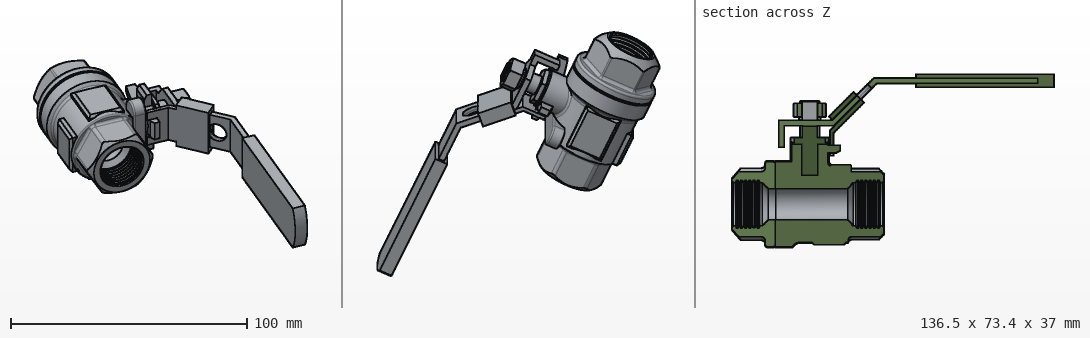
import cadquery as cq
import math


PORT_RADIUS = 7.0
THREAD_MINOR_RADIUS = 9.4
THREAD_MAJOR_RADIUS = 10.5
THREAD_PITCH = 1.8
THREAD_HALF_WIDTH = 0.7
THREAD_TURNS = 6
MOUTH_RADIUS = 10.0
MOUTH_CHAMFER = MOUTH_RADIUS - THREAD_MINOR_RADIUS
SOCKET_DEPTH = MOUTH_CHAMFER + (THREAD_TURNS + 1) * THREAD_PITCH
SOCKET_CONE_LENGTH = THREAD_MINOR_RADIUS - PORT_RADIUS

CAP_END_X = -33.0
CAP_SHOULDER_X = -19.0
JOINT_X = -14.5
FLANGE_END_X = -7.4
BARREL_END_X = 16.4
BODY_END_X = 31.4
SEAM_TOLERANCE = 0.1

FLANGE_RADIUS = 18.35
CAP_EDGE_FILLET = 1.1
CAP_HALF_FLATS = 13.4
CAP_HEX_CORNER_FILLET = 0.8
CAP_ROOT_FILLET = 1.5
CAP_FACE_RADIUS = 10.9
CAP_BEVEL_LENGTH = 4.0
JOINT_GROOVE_WIDTH = 0.8
JOINT_GROOVE_DEPTH = 0.2

BARREL_RADIUS = 16.5
BARREL_EDGE_FILLET = 0.7
FLANGE_ROOT_FILLET = 2.0
BODY_HALF_FLATS = 13.4
BODY_HEX_CORNER_FILLET = 2.0
BODY_ROOT_FILLET = 1.2
BODY_BEVEL = 2.6

PAD_EDGE_CHAMFER = 1.2
SIDE_PAD_X = (-5.7, 14.3)
SIDE_PAD_HALF_WIDTH = 8.0
SIDE_PAD_HEIGHT = 16.8
BOTTOM_PAD_X = (0.7, 15.7)
BOTTOM_PAD_HALF_WIDTH = 8.9
BOTTOM_PAD_HEIGHT = 17.2

LUG_X = 13.1
LUG_RADIUS = 4.5
LUG_TIP_Z = 18.49
LUG_Y = (11.2, 16.8)
LUG_EDGE_FILLET = 0.7

NECK_RADIUS = 8.25
NECK_TOP_Y = 25.4
NECK_FILLET = 1.4
WING_TOP_Y = 25.0
STOP_INNER = 3.3
STOP_TIP_OUTER = 6.0
STOP_ROOT_OUTER = 7.9
STOP_ROOT_Y = 17.7
STOP_TIP_Y = 20.9
CLOSED_STOP_REACH = 14.0
OPEN_STOP_REACH = 14.5
LOCK_WING_HALF_WIDTH = 4.2
LOCK_WING_REACH = 13.0
LOCK_WING_TIP_Y = 22.6
LOCK_WING_ROOT_Y = 21.5
LOCK_WING_SLOPE_LENGTH = 2.0

STEM_RADIUS = 4.2
STEM_FLAT_HALF_WIDTH = 2.7
STEM_BOTTOM_Y = 12.3
STEM_TOP_Y = 43.8
STEM_TIP_CHAMFER = 0.5
COLLAR_RIM_RADIUS = 8.39
COLLAR_RIM_HEIGHT = 0.8
COLLAR_TOP_Y = 28.2
COLLAR_HALF_FLATS = 7.1
COLLAR_CHAMFER = 0.4

SHEET = 2.52
LEVER_SLOPE = math.radians(45)
LEVER_HALF_WIDTH = 8.39
PLATE_TOP_Y = 35.6
PLATE_MID_Y = PLATE_TOP_Y - SHEET / 2
LOWER_BEND_X = 9.8
UPPER_BEND_X = 27.7
HANDLE_MID_Y = PLATE_MID_Y + (UPPER_BEND_X - LOWER_BEND_X) * math.tan(LEVER_SLOPE)
TAB_OUTER_X = -13.2
TAB_HALF_WIDTH = 3.0
TAB_END_Y = 24.0
TAPER_NARROW_X = -8.5
TAPER_WIDE_X = -3.7
PADLOCK_HOLE_RADIUS = 4.2
PADLOCK_HOLE_DISTANCE = 18.7

GRIP_START_X = 44.9
GRIP_END_X = CAP_END_X + 136.5
GRIP_THICKNESS = 5.6
GRIP_HALF_WIDTH = 10.16
GRIP_END_BULGE = 2.7
GRIP_END_WALL = 4.1
LEVER_END_X = GRIP_END_X - GRIP_END_BULGE - GRIP_END_WALL

SLIDE_START = 0.7
SLIDE_LENGTH = 14.7
SLIDE_WALL = 1.9
SLIDE_HALF_WIDTH = LEVER_HALF_WIDTH + 2.2
LATCH_INNER_X = 8.5
LATCH_THICKNESS = 1.6
LATCH_END_Y = 20.5
LATCH_SLOT_CLEARANCE = 0.1

NUT_HALF_FLATS = 6.0
NUT_FACE_RADIUS = 4.6
NUT_FACE_HEIGHT = 1.2
NUT_TOP_Y = 42.7
NUT_CHAMFER = 0.4


def hex_diameter(half_flats):
    return 2 * half_flats / math.cos(math.radians(30))


def turned_x(points):
    """Solid of revolution about X from (x, radius) points."""
    return cq.Workplane("XY").polyline(points).close().revolve(360, (0, 0, 0), (1, 0, 0))


def disc_y(radius, y_start, y_end):
    """Cylinder on the stem axis between two heights."""
    return cq.Workplane("XZ", origin=(0, y_start, 0)).circle(radius).extrude(y_start - y_end)


def hex_y(half_flats, y_start, y_end):
    """Hexagonal prism on the stem axis with flats facing +Z and -Z."""
    plane = cq.Workplane("XZ", origin=(0, y_start, 0))
    return plane.polygon(6, hex_diameter(half_flats)).extrude(y_start - y_end)


def chamfered_hex_y(half_flats, y_start, y_end, chamfer):
    """Hexagonal prism whose corners are bevelled at both ends."""
    corner = hex_diameter(half_flats) / 2
    envelope = disc_y(corner, y_start, y_end).faces("<Y or >Y").chamfer(chamfer)
    return hex_y(half_flats, y_start, y_end).intersect(envelope)


def box_between(x_range, y_range, z_range):
    size = [end - start for start, end in (x_range, y_range, z_range)]
    corner = (x_range[0], y_range[0], z_range[0])
    return cq.Workplane("XY").box(*size, centered=False).translate(corner)


def hex_end(x_start, x_end, half_flats, corner_fillet):
    """Hexagonal wrench section on the flow axis with rounded corners."""
    plane = cq.Workplane("YZ", origin=(x_start, 0, 0))
    prism = plane.polygon(6, hex_diameter(half_flats)).extrude(x_end - x_start)
    return prism.edges("|X").fillet(corner_fillet)


def seam_at(x, reach):
    """Selector for edges lying in the plane at x, no farther than reach from the flow axis."""
    return cq.selectors.BoxSelector(
        (x - SEAM_TOLERANCE, -reach, -reach), (x + SEAM_TOLERANCE, reach, reach), boundingbox=True)


def socket_cutter(mouth_x, inward):
    """Threaded socket entered at mouth_x; inward is +1 or -1 along X."""
    depth_radius = [(0, 0), (0, MOUTH_RADIUS), (MOUTH_CHAMFER, THREAD_MINOR_RADIUS)]
    for turn in range(THREAD_TURNS):
        root = MOUTH_CHAMFER + (turn + 1) * THREAD_PITCH
        depth_radius.append((root - THREAD_HALF_WIDTH, THREAD_MINOR_RADIUS))
        depth_radius.append((root, THREAD_MAJOR_RADIUS))
        depth_radius.append((root + THREAD_HALF_WIDTH, THREAD_MINOR_RADIUS))
    depth_radius.append((SOCKET_DEPTH, THREAD_MINOR_RADIUS))
    depth_radius.append((SOCKET_DEPTH + SOCKET_CONE_LENGTH, PORT_RADIUS))
    depth_radius.append((SOCKET_DEPTH + SOCKET_CONE_LENGTH, 0))
    return turned_x([(mouth_x + inward * depth, radius) for depth, radius in depth_radius])


def port_cutter():
    plane = cq.Workplane("YZ", origin=(CAP_END_X, 0, 0))
    return plane.circle(PORT_RADIUS).extrude(BODY_END_X - CAP_END_X)


def make_cap():
    groove_x = JOINT_X - JOINT_GROOVE_WIDTH
    groove_radius = FLANGE_RADIUS - JOINT_GROOVE_DEPTH
    flange = turned_x([
        (CAP_SHOULDER_X, 0), (CAP_SHOULDER_X, FLANGE_RADIUS), (groove_x, FLANGE_RADIUS),
        (groove_x, groove_radius), (JOINT_X, groove_radius), (JOINT_X, 0),
    ])
    flange = flange.faces("<X").edges().fillet(CAP_EDGE_FILLET)
    wrench = hex_end(CAP_END_X, CAP_SHOULDER_X, CAP_HALF_FLATS, CAP_HEX_CORNER_FILLET)
    cap = wrench.union(flange)
    hex_reach = hex_diameter(CAP_HALF_FLATS) / 2
    cap = cap.edges(seam_at(CAP_SHOULDER_X, hex_reach)).fillet(CAP_ROOT_FILLET)
    envelope = turned_x([
        (CAP_END_X, 0), (CAP_END_X, CAP_FACE_RADIUS),
        (CAP_END_X + CAP_BEVEL_LENGTH, hex_reach),
        (CAP_SHOULDER_X - CAP_ROOT_FILLET, FLANGE_RADIUS), (JOINT_X, FLANGE_RADIUS), (JOINT_X, 0),
    ])
    return cap.intersect(envelope).cut(socket_cutter(CAP_END_X, 1)).cut(port_cutter())


def pad(x_range, half_width, height):
    """Raised pad facing +Z, with bevelled edges, standing on the flow axis plane."""
    length = x_range[1] - x_range[0]
    plane = cq.Workplane("XY", origin=(sum(x_range) / 2, 0, 0))
    foot = plane.rect(length, 2 * half_width).extrude(height)
    return foot.faces(">Z").edges().chamfer(PAD_EDGE_CHAMFER)


def lug():
    """Round-ended lug pointing to +Z."""
    centre_z = LUG_TIP_Z - LUG_RADIUS
    thickness = LUG_Y[1] - LUG_Y[0]
    plane = cq.Workplane("XZ", origin=(LUG_X, LUG_Y[1], 0))
    outline = (plane.moveTo(-LUG_RADIUS, 0).lineTo(-LUG_RADIUS, centre_z)
               .threePointArc((0, LUG_TIP_Z), (LUG_RADIUS, centre_z)).lineTo(LUG_RADIUS, 0).close())
    return outline.extrude(thickness).faces("<Y or >Y").edges("not |X").fillet(LUG_EDGE_FILLET)


def stop_bar(reach):
    """Wing along -X beside the lever tab; it thins toward the tip."""
    plane = cq.Workplane("XY", origin=(0, 0, STOP_INNER))
    outline = plane.polyline([
        (0, WING_TOP_Y), (-reach, WING_TOP_Y), (-reach, STOP_TIP_Y), (0, STOP_ROOT_Y),
    ]).close()
    bar = outline.extrude(STOP_ROOT_OUTER - STOP_INNER)
    plan = cq.Workplane("XZ").polyline([
        (0, STOP_INNER), (-reach, STOP_INNER), (-reach, STOP_TIP_OUTER), (0, STOP_ROOT_OUTER),
    ]).close()
    return bar.intersect(plan.extrude(-WING_TOP_Y))


def lock_wing():
    """Wing along +X that the locking slide drops over."""
    slope_x = LOCK_WING_REACH - LOCK_WING_SLOPE_LENGTH
    outline = cq.Workplane("XY").polyline([
        (0, WING_TOP_Y), (LOCK_WING_REACH, WING_TOP_Y), (LOCK_WING_REACH, LOCK_WING_TIP_Y),
        (slope_x, LOCK_WING_ROOT_Y), (0, LOCK_WING_ROOT_Y),
    ]).close()
    return outline.extrude(LOCK_WING_HALF_WIDTH, both=True)


def about_stem(shape, angle):
    return shape.rotate((0, 0, 0), (0, 1, 0), angle)


def neck_on_saddle():
    """Neck blended into a short piece of the barrel around it."""
    saddle_half_length = NECK_RADIUS + 2 * NECK_FILLET
    plane = cq.Workplane("YZ", origin=(-saddle_half_length, 0, 0))
    saddle = plane.circle(BARREL_RADIUS).extrude(2 * saddle_half_length)
    blended = saddle.union(disc_y(NECK_RADIUS, 0, NECK_TOP_Y))
    neck_root = cq.selectors.BoxSelector(
        (-NECK_RADIUS, BARREL_RADIUS / 2, -NECK_RADIUS), (NECK_RADIUS, BARREL_RADIUS, NECK_RADIUS))
    return blended.edges(neck_root).fillet(NECK_FILLET)


def make_body():
    flange_step = FLANGE_RADIUS - BARREL_RADIUS
    barrel = turned_x([
        (JOINT_X, 0), (JOINT_X, FLANGE_RADIUS), (FLANGE_END_X, FLANGE_RADIUS),
        (FLANGE_END_X + flange_step, BARREL_RADIUS), (BARREL_END_X, BARREL_RADIUS), (BARREL_END_X, 0),
    ])
    barrel = barrel.faces(">X").edges().fillet(BARREL_EDGE_FILLET)
    root_x = FLANGE_END_X + flange_step
    barrel = barrel.edges(seam_at(root_x, FLANGE_RADIUS)).fillet(FLANGE_ROOT_FILLET)

    wrench = hex_end(BARREL_END_X, BODY_END_X, BODY_HALF_FLATS, BODY_HEX_CORNER_FILLET)
    corner_radius = hex_diameter(BODY_HALF_FLATS) / 2
    wrench = wrench.intersect(turned_x([
        (BARREL_END_X, 0), (BARREL_END_X, corner_radius), (BODY_END_X - BODY_BEVEL, corner_radius),
        (BODY_END_X, corner_radius - BODY_BEVEL), (BODY_END_X, 0),
    ]))
    body = barrel.union(wrench)
    body = body.edges(seam_at(BARREL_END_X, corner_radius)).fillet(BODY_ROOT_FILLET)
    body = body.union(neck_on_saddle())

    side_pad = pad(SIDE_PAD_X, SIDE_PAD_HALF_WIDTH, SIDE_PAD_HEIGHT)
    side_lug = lug()
    for side_feature in (side_pad, side_lug):
        body = body.union(side_feature).union(side_feature.mirror("XY"))
    bottom_pad = pad(BOTTOM_PAD_X, BOTTOM_PAD_HALF_WIDTH, BOTTOM_PAD_HEIGHT)
    body = body.union(bottom_pad.rotate((0, 0, 0), (1, 0, 0), 90))

    body = body.union(stop_bar(OPEN_STOP_REACH))
    body = body.union(about_stem(stop_bar(CLOSED_STOP_REACH).mirror("XY"), -90))
    body = body.union(lock_wing()).union(about_stem(lock_wing(), -90))

    stem_hole = disc_y(STEM_RADIUS, STEM_BOTTOM_Y, NECK_TOP_Y)
    return body.cut(stem_hole).cut(socket_cutter(BODY_END_X, -1)).cut(port_cutter())


def stem_section(y_start, y_end):
    """Stem bar with two flats facing +Z and -Z."""
    reach = (-STEM_RADIUS, STEM_RADIUS)
    flats = (-STEM_FLAT_HALF_WIDTH, STEM_FLAT_HALF_WIDTH)
    return disc_y(STEM_RADIUS, y_start, y_end).intersect(box_between(reach, (y_start, y_end), flats))


def make_stem():
    plate_bottom_y = PLATE_TOP_Y - SHEET
    rim_top_y = NECK_TOP_Y + COLLAR_RIM_HEIGHT
    shaft = disc_y(STEM_RADIUS, STEM_BOTTOM_Y, plate_bottom_y)
    rim = disc_y(COLLAR_RIM_RADIUS, NECK_TOP_Y, rim_top_y)
    collar = chamfered_hex_y(COLLAR_HALF_FLATS, rim_top_y, COLLAR_TOP_Y, COLLAR_CHAMFER)
    tip = stem_section(plate_bottom_y, STEM_TOP_Y).faces(">Y").edges().chamfer(STEM_TIP_CHAMFER)
    return shaft.union(rim).union(collar).union(tip)


def lever_point(along, above):
    """Point on the sloping part: distance up the slope from the lower bend, and above its mid-plane."""
    cosine = math.cos(LEVER_SLOPE)
    sine = math.sin(LEVER_SLOPE)
    return (LOWER_BEND_X + along * cosine - above * sine, PLATE_MID_Y + along * sine + above * cosine)


def make_lever():
    half = SHEET / 2
    mitre = half * math.tan(LEVER_SLOPE / 2)
    side = cq.Workplane("XY").polyline([
        (TAB_OUTER_X, TAB_END_Y), (TAB_OUTER_X, PLATE_MID_Y + half),
        (LOWER_BEND_X - mitre, PLATE_MID_Y + half), (UPPER_BEND_X - mitre, HANDLE_MID_Y + half),
        (LEVER_END_X, HANDLE_MID_Y + half), (LEVER_END_X, HANDLE_MID_Y - half),
        (UPPER_BEND_X + mitre, HANDLE_MID_Y - half), (LOWER_BEND_X + mitre, PLATE_MID_Y - half),
        (TAB_OUTER_X + SHEET, PLATE_MID_Y - half), (TAB_OUTER_X + SHEET, TAB_END_Y),
    ]).close().extrude(LEVER_HALF_WIDTH, both=True)
    plan = cq.Workplane("XZ").polyline([
        (TAB_OUTER_X, -TAB_HALF_WIDTH), (TAPER_NARROW_X, -TAB_HALF_WIDTH),
        (TAPER_WIDE_X, -LEVER_HALF_WIDTH), (LEVER_END_X, -LEVER_HALF_WIDTH),
        (LEVER_END_X, LEVER_HALF_WIDTH), (TAPER_WIDE_X, LEVER_HALF_WIDTH),
        (TAPER_NARROW_X, TAB_HALF_WIDTH), (TAB_OUTER_X, TAB_HALF_WIDTH),
    ]).close().extrude(-(HANDLE_MID_Y + SHEET))
    stem_slot = stem_section(PLATE_MID_Y - SHEET, PLATE_MID_Y + SHEET)
    hole_centre = lever_point(PADLOCK_HOLE_DISTANCE, 0)
    hole_plane = cq.Plane(
        origin=(*hole_centre, 0), xDir=(0, 0, 1),
        normal=(-math.sin(LEVER_SLOPE), math.cos(LEVER_SLOPE), 0))
    padlock_hole = cq.Workplane(hole_plane).circle(PADLOCK_HOLE_RADIUS).extrude(SHEET, both=True)
    return side.intersect(plan).cut(stem_slot).cut(padlock_hole)


def make_grip():
    """Sleeve with a bowed end, open only where the lever enters."""
    corner_x = GRIP_END_X - GRIP_END_BULGE
    plane = cq.Workplane("XZ", origin=(0, HANDLE_MID_Y, 0))
    outline = (plane.moveTo(GRIP_START_X, -GRIP_HALF_WIDTH).lineTo(corner_x, -GRIP_HALF_WIDTH)
               .threePointArc((GRIP_END_X, 0), (corner_x, GRIP_HALF_WIDTH))
               .lineTo(GRIP_START_X, GRIP_HALF_WIDTH).close())
    sleeve = outline.extrude(GRIP_THICKNESS / 2, both=True)
    lever_pocket = box_between(
        (GRIP_START_X, LEVER_END_X), (HANDLE_MID_Y - SHEET / 2, HANDLE_MID_Y + SHEET / 2),
        (-LEVER_HALF_WIDTH, LEVER_HALF_WIDTH))
    return sleeve.cut(lever_pocket)


def make_slide():
    """Sleeve around the sloping lever, with a bent latch that drops over the lock wing."""
    inner = SHEET / 2
    outer = inner + SLIDE_WALL
    slide_end = SLIDE_START + SLIDE_LENGTH

    def slope_block(height, half_width):
        return cq.Workplane("XY").polyline([
            lever_point(SLIDE_START, -height), lever_point(slide_end, -height),
            lever_point(slide_end, height), lever_point(SLIDE_START, height),
        ]).close().extrude(half_width, both=True)

    sleeve = slope_block(outer, SLIDE_HALF_WIDTH).cut(slope_block(inner, LEVER_HALF_WIDTH))

    def slope_y(x, above):
        """Height at x of the line parallel to the slope and offset from its mid-plane."""
        rise = (x - LOWER_BEND_X) * math.tan(LEVER_SLOPE)
        return PLATE_MID_Y + rise + above / math.cos(LEVER_SLOPE)

    latch_outer_x = LATCH_INNER_X + LATCH_THICKNESS
    latch = cq.Workplane("XY").polyline([
        (LATCH_INNER_X, LATCH_END_Y), (LATCH_INNER_X, slope_y(LATCH_INNER_X, -inner)),
        lever_point(SLIDE_START, -inner), lever_point(SLIDE_START, -outer),
        (latch_outer_x, slope_y(latch_outer_x, -outer)), (latch_outer_x, LATCH_END_Y),
    ]).close().extrude(LEVER_HALF_WIDTH, both=True)
    slot_half_width = LOCK_WING_HALF_WIDTH + LATCH_SLOT_CLEARANCE
    wing_slot = box_between(
        (LATCH_INNER_X, latch_outer_x), (LATCH_END_Y, WING_TOP_Y + LATCH_SLOT_CLEARANCE),
        (-slot_half_width, slot_half_width))
    return sleeve.union(latch.cut(wing_slot))


def make_nut():
    hex_bottom_y = PLATE_TOP_Y + NUT_FACE_HEIGHT
    face = disc_y(NUT_FACE_RADIUS, PLATE_TOP_Y, hex_bottom_y)
    head = chamfered_hex_y(NUT_HALF_FLATS, hex_bottom_y, NUT_TOP_Y, NUT_CHAMFER)
    return face.union(head).cut(disc_y(STEM_RADIUS, PLATE_TOP_Y, NUT_TOP_Y))


cap = make_cap()
body = make_body()
stem = make_stem()
lever = make_lever()
grip = make_grip()
slide = make_slide()
nut = make_nut()

result = cq.Compound.makeCompound([
    cap.val(), body.val(), stem.val(), lever.val(), grip.val(), slide.val(), nut.val(),
])